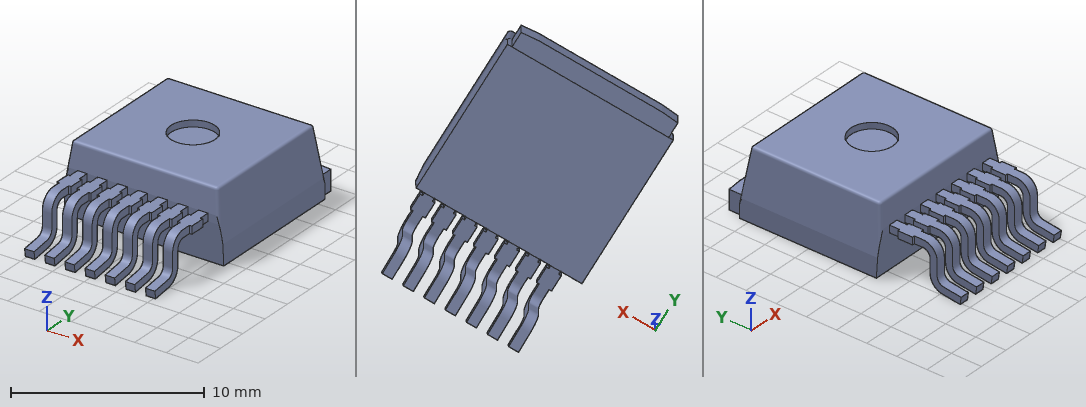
import cadquery as cq
import math


HOUSING_WIDTH = 10.0
HOUSING_HEIGHT = 4.41
HOUSING_LENGTH = 9.24
FRONT_UNDERCUT = 0.15
SIDE_DRAFT = 7.0
REAR_DRAFT = 8.0
EDGE_RADIUS = 0.2
RECESS_DIAMETER = 2.76
RECESS_DEPTH = 0.4
RECESS_Y = -4.74

TAB_WIDTH = 9.45
TAB_LENGTH = 1.0
TAB_THICKNESS = 1.28
TAB_CORNER_WIDTH = 1.0
TAB_CORNER_DROP = 0.09

LEAD_COUNT = 7
LEAD_ROW_SPAN = 7.62
LEAD_PITCH = LEAD_ROW_SPAN / (LEAD_COUNT - 1)
LEAD_WIDTH = 0.6
LEAD_THICKNESS = 0.48
LEAD_TOP = 2.88
LEAD_BOTTOM = LEAD_TOP - LEAD_THICKNESS
LEAD_REACH = 14.0
SHOULDER_WIDTH = 0.9
SHOULDER_START = 0.68
SHOULDER_LENGTH = 0.98
STRAIGHT_LENGTH = 2.2
INNER_RADIUS = LEAD_THICKNESS
OUTER_RADIUS = INNER_RADIUS + LEAD_THICKNESS
FOOT_ANGLE = 8.0
STANDOFF = 0.1

FRONT_Y = -HOUSING_LENGTH


def make_drafted_form():
    """Return the pyramid-like block with leaning faces and rounded top and corner edges."""
    side_slope = math.tan(math.radians(SIDE_DRAFT))
    rear_slope = math.tan(math.radians(REAR_DRAFT))
    rise = HOUSING_HEIGHT - TAB_THICKNESS

    base_half_width = HOUSING_WIDTH / 2 + TAB_THICKNESS * side_slope
    top_half_width = HOUSING_WIDTH / 2 - rise * side_slope
    across = (
        cq.Workplane("XZ")
        .polyline([
            (-base_half_width, 0),
            (base_half_width, 0),
            (top_half_width, HOUSING_HEIGHT),
            (-top_half_width, HOUSING_HEIGHT),
        ])
        .close()
        .extrude(2 * HOUSING_LENGTH, both=True)
    )

    along = (
        cq.Workplane("YZ")
        .polyline([
            (FRONT_Y - LEAD_TOP * side_slope, 0),
            (TAB_THICKNESS * rear_slope, 0),
            (-rise * rear_slope, HOUSING_HEIGHT),
            (FRONT_Y + (HOUSING_HEIGHT - LEAD_TOP) * side_slope, HOUSING_HEIGHT),
        ])
        .close()
        .extrude(HOUSING_WIDTH, both=True)
    )
    return across.intersect(along).edges("not <Z").fillet(EDGE_RADIUS)


def make_envelope():
    """Return the prism that trims the drafted form to its upright and undercut faces."""
    return (
        cq.Workplane("YZ")
        .polyline([
            (FRONT_Y + FRONT_UNDERCUT, 0),
            (0, 0),
            (0, HOUSING_HEIGHT),
            (FRONT_Y, HOUSING_HEIGHT),
            (FRONT_Y, LEAD_BOTTOM),
        ])
        .close()
        .extrude(HOUSING_WIDTH / 2, both=True)
    )


def make_housing():
    recess = (
        cq.Workplane("XY", origin=(0, RECESS_Y, HOUSING_HEIGHT))
        .circle(RECESS_DIAMETER / 2)
        .extrude(-RECESS_DEPTH)
    )
    return make_drafted_form().intersect(make_envelope()).cut(recess)


def make_tab():
    """Return the plate behind the housing, with shallow slanted rear corners."""
    half_width = TAB_WIDTH / 2
    flat_half_width = half_width - TAB_CORNER_WIDTH
    corner_y = TAB_LENGTH - TAB_CORNER_DROP
    return (
        cq.Workplane("XY")
        .polyline([
            (-half_width, 0),
            (half_width, 0),
            (half_width, corner_y),
            (flat_half_width, TAB_LENGTH),
            (-flat_half_width, TAB_LENGTH),
            (-half_width, corner_y),
        ])
        .close()
        .extrude(TAB_THICKNESS)
    )


def make_lead(x):
    """Return one gull-wing lead centred at x."""
    foot = math.radians(FOOT_ANGLE)

    upper_y = FRONT_Y - STRAIGHT_LENGTH
    upper_z = LEAD_TOP - OUTER_RADIUS

    lower_y = upper_y - OUTER_RADIUS - INNER_RADIUS
    foot_top_y = lower_y + INNER_RADIUS * math.sin(foot)
    foot_length = (LEAD_REACH + foot_top_y) / math.cos(foot)
    lower_z = -STANDOFF + foot_length * math.sin(foot) + OUTER_RADIUS * math.cos(foot)

    def upper_point(radius, angle):
        return upper_y - radius * math.sin(angle), upper_z + radius * math.cos(angle)

    def lower_point(radius, angle, along_foot=0):
        return (
            lower_y + radius * math.cos(angle) - along_foot * math.cos(foot),
            lower_z - radius * math.sin(angle) - along_foot * math.sin(foot),
        )

    quarter = math.pi / 2
    lower_turn = quarter - foot
    strip = (
        cq.Workplane("YZ", origin=(x, 0, 0))
        .moveTo(FRONT_Y, LEAD_TOP)
        .lineTo(*upper_point(OUTER_RADIUS, 0))
        .threePointArc(upper_point(OUTER_RADIUS, quarter / 2), upper_point(OUTER_RADIUS, quarter))
        .lineTo(*lower_point(INNER_RADIUS, 0))
        .threePointArc(lower_point(INNER_RADIUS, lower_turn / 2), lower_point(INNER_RADIUS, lower_turn))
        .lineTo(*lower_point(INNER_RADIUS, lower_turn, foot_length))
        .lineTo(*lower_point(OUTER_RADIUS, lower_turn, foot_length))
        .lineTo(*lower_point(OUTER_RADIUS, lower_turn))
        .threePointArc(lower_point(OUTER_RADIUS, lower_turn / 2), lower_point(OUTER_RADIUS, 0))
        .lineTo(*upper_point(INNER_RADIUS, quarter))
        .threePointArc(upper_point(INNER_RADIUS, quarter / 2), upper_point(INNER_RADIUS, 0))
        .lineTo(FRONT_Y, LEAD_BOTTOM)
        .close()
        .extrude(LEAD_WIDTH / 2, both=True)
    )
    shoulder_y = FRONT_Y - SHOULDER_START - SHOULDER_LENGTH / 2
    shoulder = (
        cq.Workplane("XY", origin=(x, shoulder_y, LEAD_BOTTOM))
        .rect(SHOULDER_WIDTH, SHOULDER_LENGTH)
        .extrude(LEAD_THICKNESS)
    )
    return strip.union(shoulder)


housing = make_housing()
tab = make_tab()
leads = [make_lead(i * LEAD_PITCH - LEAD_ROW_SPAN / 2) for i in range(LEAD_COUNT)]

result = cq.Compound.makeCompound([
    housing.solids().val(),
    tab.val(),
    *[lead.solids().val() for lead in leads],
])